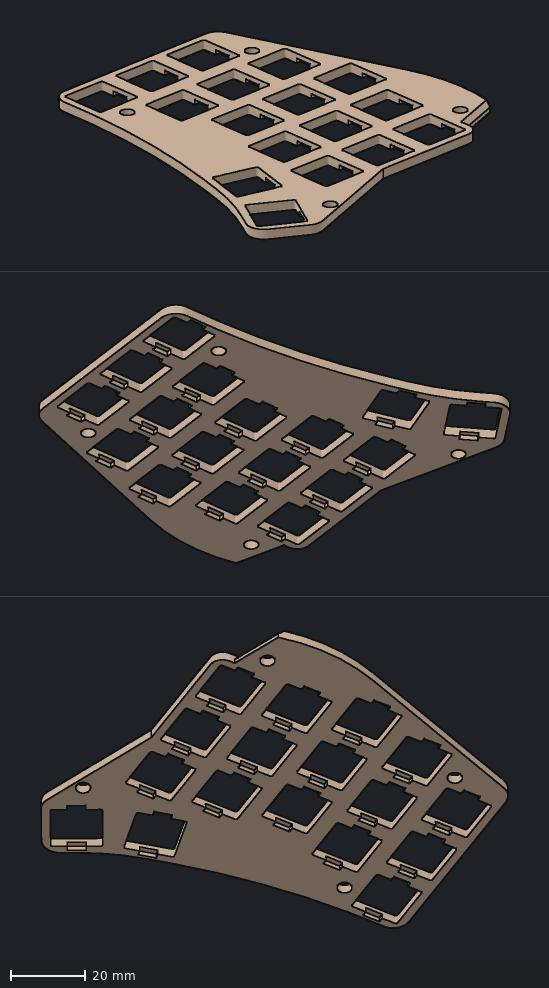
import cadquery as cq
import math


THICKNESS = 3.0
TOP_EDGE_Y = 51.7
TOP_ARC_START_X = 66.4
TOP_ARC_RADIUS = 53.0
UPPER_RIGHT_EDGE_X = 95.5
LOWER_RIGHT_EDGE_X = 88.35
EDGE_CHAMFER = 1.5

CORNER_RADIUS = 5.0
OUTER_COLUMN_RADIUS = 3.9
THUMB_SWEEP_RADIUS = 73.0
PALM_SWEEP_RADIUS = 220.0
PALM_SWEEP_SETBACK = 3.0

KEY_PITCH = 19.05
HALF_KEY = KEY_PITCH / 2
OPENING = 14.0
OPENING_CORNER_RADIUS = 0.5
CLIP_WIDTH = 5.0
CLIP_DEPTH = 1.5
CLIP_HEIGHT = 1.5

COLUMN_TILT = -20.0
COLUMN_RISES = [0.0, 11.97, 18.17, 13.57, 11.08]
ROWS = 3

INNER_THUMB = (59.17, -31.38, -35.0)
OUTER_THUMB = (74.93, -45.81, -50.0)

HOLE_DIAMETER = 4.0
HOLE_CENTRES = [(23.55, 44.13), (90.49, 34.97), (10.7, -5.81), (85.54, -34.45)]


def point_on_key(key, across, up):
    """Plan position of a point given in the key's own rotated axes."""
    x, y, rotation = key
    angle = math.radians(rotation)
    return (
        x + across * math.cos(angle) - up * math.sin(angle),
        y + across * math.sin(angle) + up * math.cos(angle),
    )


def finger_key(column, row):
    first_key = (0.0, 0.0, COLUMN_TILT)
    x, y = point_on_key(first_key, column * KEY_PITCH, COLUMN_RISES[column] + row * KEY_PITCH)
    return (x, y, COLUMN_TILT)


def point_at_x(key_point, rotation, x):
    """Where a line through key_point, sloped by rotation, reaches the given x."""
    return (x, key_point[1] + (x - key_point[0]) * math.tan(math.radians(rotation)))


def point_at_y(key_point, rotation, y):
    """Where a line through key_point, sloped by rotation, reaches the given y."""
    return (key_point[0] + (y - key_point[1]) / math.tan(math.radians(rotation)), y)


def crossing(point_a, rotation_a, point_b, rotation_b):
    """Where two sloped lines cross."""
    slope_a = math.tan(math.radians(rotation_a))
    slope_b = math.tan(math.radians(rotation_b))
    x = (point_b[1] - point_a[1] + slope_a * point_a[0] - slope_b * point_b[0]) / (slope_a - slope_b)
    return point_at_x(point_a, rotation_a, x)


LAST_COLUMN = len(COLUMN_RISES) - 1
FINGER_KEYS = [finger_key(column, row) for column in range(LAST_COLUMN + 1) for row in range(ROWS)]
ALL_KEYS = FINGER_KEYS + [INNER_THUMB, OUTER_THUMB]

FIRST_KEY = finger_key(0, 0)
OUTER_KEY = finger_key(LAST_COLUMN, ROWS - 1)
lower_left = point_on_key(FIRST_KEY, -HALF_KEY, -HALF_KEY)
upper_left = point_at_y(lower_left, COLUMN_TILT + 90, TOP_EDGE_Y)
outer_column = point_on_key(OUTER_KEY, HALF_KEY, HALF_KEY)
outer_column_notch = point_at_x(outer_column, COLUMN_TILT, UPPER_RIGHT_EDGE_X)
waist = point_at_x(outer_column, COLUMN_TILT + 90, LOWER_RIGHT_EDGE_X)
thumb_tip = point_on_key(OUTER_THUMB, HALF_KEY, -HALF_KEY)
thumb_right = point_at_x(thumb_tip, OUTER_THUMB[2] + 90, LOWER_RIGHT_EDGE_X)
inner_thumb_bottom = point_on_key(INNER_THUMB, 0, -HALF_KEY)
thumb_bend = crossing(inner_thumb_bottom, INNER_THUMB[2], thumb_tip, OUTER_THUMB[2])
palm_left = point_on_key(FIRST_KEY, HALF_KEY - PALM_SWEEP_SETBACK, -HALF_KEY)
palm_right = point_on_key(INNER_THUMB, PALM_SWEEP_SETBACK - HALF_KEY, -HALF_KEY)

TOP_ARC_SPAN = UPPER_RIGHT_EDGE_X - TOP_ARC_START_X
TOP_ARC_DROP = TOP_ARC_RADIUS - math.sqrt(TOP_ARC_RADIUS**2 - TOP_ARC_SPAN**2)
upper_right = (UPPER_RIGHT_EDGE_X, TOP_EDGE_Y - TOP_ARC_DROP)

CORNER_ROUNDINGS = [
    (lower_left, CORNER_RADIUS),
    (upper_left, CORNER_RADIUS),
    (outer_column, OUTER_COLUMN_RADIUS),
    (thumb_right, CORNER_RADIUS),
    (thumb_tip, CORNER_RADIUS),
    (thumb_bend, THUMB_SWEEP_RADIUS),
]


def plate_blank():
    blank = (
        cq.Workplane("XY")
        .moveTo(*lower_left)
        .lineTo(*upper_left)
        .lineTo(TOP_ARC_START_X, TOP_EDGE_Y)
        .tangentArcPoint(upper_right, relative=False)
        .lineTo(*outer_column_notch)
        .lineTo(*outer_column)
        .lineTo(*waist)
        .lineTo(*thumb_right)
        .lineTo(*thumb_tip)
        .lineTo(*thumb_bend)
        .lineTo(*palm_right)
        .radiusArc(palm_left, -PALM_SWEEP_RADIUS)
        .close()
        .extrude(THICKNESS)
    )
    for corner, radius in CORNER_ROUNDINGS:
        nearest = cq.selectors.NearestToPointSelector((*corner, THICKNESS / 2))
        blank = blank.edges("|Z").edges(nearest).fillet(radius)
    return blank


def chamfer_upper_right_edge(plate):
    middle_y = (upper_right[1] + outer_column_notch[1]) / 2
    nearest = cq.selectors.NearestToPointSelector((UPPER_RIGHT_EDGE_X, middle_y, THICKNESS))
    return plate.edges(nearest).chamfer(EDGE_CHAMFER)


def switch_cutter(key):
    """Square opening with a clip relief under its upper and lower sides."""
    x, y, rotation = key
    opening = cq.Workplane("XY").rect(OPENING, OPENING).extrude(THICKNESS)
    opening = opening.edges("|Z").fillet(OPENING_CORNER_RADIUS)
    reliefs = cq.Workplane("XY").rect(CLIP_WIDTH, OPENING + 2 * CLIP_DEPTH).extrude(CLIP_HEIGHT)
    cutter = opening.union(reliefs)
    return cutter.rotate((0, 0, 0), (0, 0, 1), rotation).translate((x, y, 0))


def hole_cutters():
    return cq.Workplane("XY").pushPoints(HOLE_CENTRES).circle(HOLE_DIAMETER / 2).extrude(THICKNESS)


plate = chamfer_upper_right_edge(plate_blank())
for key in ALL_KEYS:
    plate = plate.cut(switch_cutter(key))
result = plate.cut(hole_cutters())